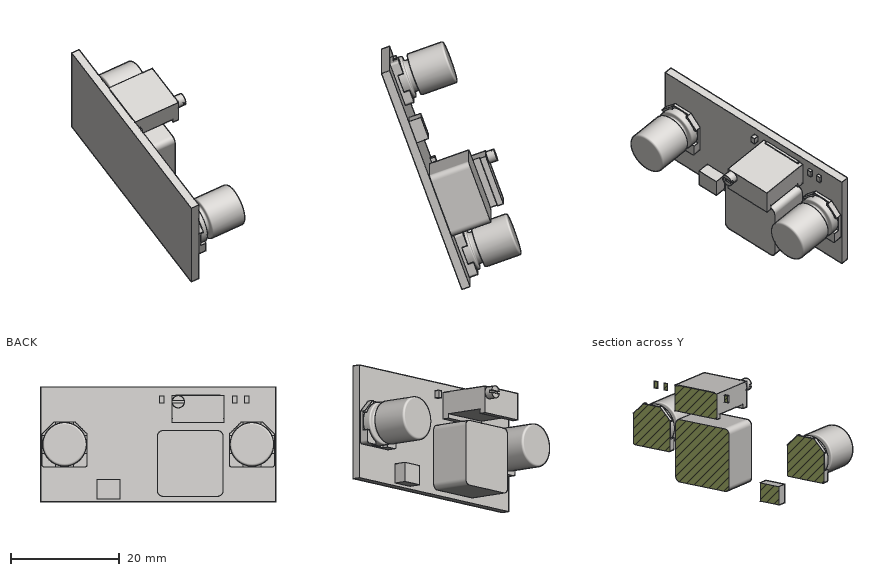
import cadquery as cq

board_length = 43.2
board_thickness = 1.6
board_height = 21.1
total_depth = 13.15

capacitor_inset = 4.4
capacitor_z = board_height / 2
capacitor_height = 10.25
can_diameter = 8.0
can_radius = can_diameter / 2
can_top_round = 0.4
waist_radius = 3.02
groove_bottom = 2.2
groove_top = 3.2
groove_round = 0.25
base_side = 8.3
base_floor = 0.6
lower_pad_height = 1.7
upper_pad_height = 1.12
pad_gap = 3.33
upper_corner_chamfer = 2.25
lower_corner_round = 0.45

trimmer_x = 9.55
trimmer_length = 9.5
trimmer_z = 14.5
trimmer_height = 4.95
trimmer_depth = 10.0
recess_depth = 0.8
recess_near_wall = 1.3
recess_far_wall = 1.15
screw_diameter = 2.25
screw_slot_width = 0.45
screw_slot_depth = 0.48

inductor_side = 12.1
inductor_right = 21.77
inductor_z = 1.0
inductor_depth = 7.65
inductor_round = 1.1

diode_x = 28.65
diode_z = 0.5
diode_length = 4.25
diode_height = 3.6
diode_depth = 2.35

chip_row_z = 18.8
chip_length = 0.8
chip_height = 1.35
chip_depth = 0.5
resistor_starts = (4.92, 7.13)
ceramic_x = 20.55
ceramic_depth = 0.9
strip_x = 10.55
strip_length = 7.8
strip_height = 1.65
strip_end_length = 0.25
strip_end_height = 1.55


def block(x, z, length, height, depth):
    """Box raised by depth from the component face, with its lowest X and Z at the given place."""
    return cq.Workplane("XY").box(length, depth, height, centered=False).translate((x, board_thickness, z))


def chip(x, length, height, depth):
    """Small box centred on the chip row."""
    return block(x, chip_row_z - height / 2, length, height, depth)


def disc(radius, bottom, top):
    """Solid disc about the Y axis between two levels."""
    return cq.Workplane("XZ", origin=(0, bottom, 0)).circle(radius).extrude(bottom - top)


def capacitor_can():
    """Round can about the Y axis, with a rounded crown and a rolled groove around its lower part."""
    groove = disc(can_radius, groove_bottom, groove_top).cut(disc(waist_radius, groove_bottom, groove_top))
    can = disc(can_radius, base_floor, capacitor_height).cut(groove)
    can = can.faces(">Y").edges().fillet(can_top_round)
    groove_edges = cq.selectors.BoxSelector(
        (-base_side, groove_bottom - groove_round, -base_side),
        (base_side, groove_top + groove_round, base_side),
    )
    return can.edges("%CIRCLE").edges(groove_edges).fillet(groove_round)


def capacitor_base():
    """Square base with a low cross-shaped floor between four corner pads."""
    half = base_side / 2
    pad_side = (base_side - pad_gap) / 2
    base = cq.Workplane("XY").box(base_side, base_floor, base_side, centered=(True, False, True))
    for x in (-half, half - pad_side):
        lower = cq.Workplane("XY").box(pad_side, lower_pad_height, pad_side, centered=False)
        upper = cq.Workplane("XY").box(pad_side, upper_pad_height, pad_side, centered=False)
        base = base.union(lower.translate((x, 0, -half)))
        base = base.union(upper.translate((x, 0, half - pad_side)))
    corner_edges = "|Y and (<X or >X)"
    base = base.edges(corner_edges).edges(">Z").chamfer(upper_corner_chamfer)
    return base.edges(corner_edges).edges("<Z").fillet(lower_corner_round)


def capacitor(x):
    """Complete capacitor centred at the given X."""
    return capacitor_base().union(capacitor_can()).translate((x, board_thickness, capacitor_z))


def trimmer():
    """Trimmer body with a recess along its underside and a slotted screw on its outer face."""
    body = block(trimmer_x, trimmer_z, trimmer_length, trimmer_height, trimmer_depth)
    recess = block(
        trimmer_x, trimmer_z, trimmer_length, recess_depth, trimmer_depth - recess_near_wall - recess_far_wall
    ).translate((0, recess_near_wall, 0))
    screw_x = trimmer_x + trimmer_length - screw_diameter / 2
    screw_z = trimmer_z + trimmer_height - screw_diameter / 2
    screw_base = board_thickness + trimmer_depth
    screw = (
        cq.Workplane("XZ", origin=(screw_x, screw_base, screw_z))
        .circle(screw_diameter / 2)
        .extrude(screw_base - total_depth)
    )
    slot = cq.Workplane("XY").box(screw_diameter, 2 * screw_slot_depth, screw_slot_width)
    screw = screw.cut(slot.translate((screw_x, total_depth, screw_z)))
    return body.cut(recess).union(screw)


def inductor():
    """Square inductor with rounded upright corners."""
    body = block(inductor_right - inductor_side, inductor_z, inductor_side, inductor_side, inductor_depth)
    return body.edges("|Y").fillet(inductor_round)


result = cq.Workplane("XY").box(board_length, board_thickness, board_height, centered=False)
for capacitor_x in (capacitor_inset, board_length - capacitor_inset):
    result = result.union(capacitor(capacitor_x))
result = result.union(trimmer())
result = result.union(inductor())
result = result.union(block(diode_x, diode_z, diode_length, diode_height, diode_depth))
for resistor_x in resistor_starts:
    result = result.union(chip(resistor_x, chip_length, chip_height, chip_depth))
result = result.union(chip(ceramic_x, chip_length, chip_height, ceramic_depth))
result = result.union(chip(strip_x, strip_length, strip_height, chip_depth))
result = result.union(chip(strip_x - strip_end_length, strip_end_length, strip_end_height, chip_depth))